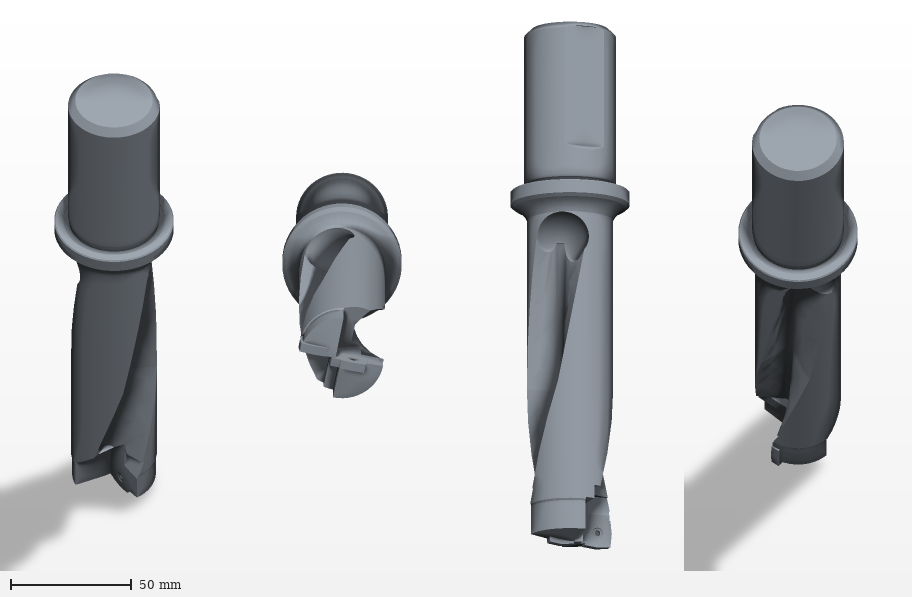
import cadquery as cq
import math


total_length = 219.93
shank_radius = 38.1 / 2
shank_chamfer = 3.0
shank_flat_y = 17.0
shank_flat_bottom = 161.5
neck_radius = 37.39 / 2
neck_height = 2.2
flange_radius = 49.6 / 2
flange_top = 151.0
flange_bottom = 145.3
flange_edge = 0.5
flange_recess_radius = 21.0
flange_recess_depth = 0.4
flare_radius = 23.2
flare_z = 144.0
flare_mid_radius = 19.0
flare_mid_z = 140.9
flare_end_z = 138.8

body_radius = 17.9
tip_radius = 17.4
tip_land_top = 16.0
tip_land_chamfer = 0.8
tip_rim_z = 4.0
tip_center_z = 1.0

flute_reach = 24.0
flute_rim_angle_long = 98.0
flute_rim_angle_short = 173.0
flute_root_long = (0.9, 5.5)
flute_root_short = (-2.2, 3.2)
flute_root_mid = (-0.1, 3.7)
flute_start_z = 23.0
flute_lead_change_z = 67.0
flute_end_z = 128.5
flute_start_angle = 18.0
lower_twist = 45.0
upper_twist = 39.0
runout_radius = 11.0
runout_center_radius = 13.8

pocket_slope_bottom = 17.0
pocket_slope_rise = 12.0
pocket_slope_run = 12.6
pocket_top = pocket_slope_bottom + pocket_slope_rise
inner_pocket_wall = -2.8
outer_pocket_wall = -4.3
web_thickness = 3.6
deep_pocket_wall = -0.3
deep_pocket_top = 17.4

ledge_bottom = 14.8
ledge_depth = 3.4
ledge_inner_x = 8.0

insert_thickness = 3.6
inner_half_width = 5.2
inner_edge_peak = 5.9
inner_x = 4.85
inner_z = inner_edge_peak
outer_half_width = 5.6
outer_edge_peak = 6.2
outer_x = 12.3
outer_z = 6.9
insert_mouth_radius = 4.5 / 2
insert_bore_radius = 3.4 / 2
head_radius = 4.15 / 2
thread_radius = 3.0 / 2
socket_radius = 2.37 / 2
socket_depth = 1.2
screw_length = 8.0
seat_half_angle = math.radians(30)
seat_depth = (insert_mouth_radius - insert_bore_radius) / math.tan(seat_half_angle)
head_recess = (insert_mouth_radius - head_radius) / math.tan(seat_half_angle)


def polar(radius, angle):
    a = math.radians(angle)
    return (radius * math.cos(a), radius * math.sin(a))


def half_turn(shape):
    return shape.rotate((0, 0, 0), (0, 0, 1), 180)


def make_blank():
    """Turned outline of the whole drill body."""
    blank = (
        cq.Workplane("XZ")
        .moveTo(0, tip_center_z)
        .lineTo(tip_radius, tip_rim_z)
        .lineTo(tip_radius, tip_land_top)
        .lineTo(body_radius, tip_land_top + tip_land_chamfer)
        .lineTo(body_radius, flare_end_z)
        .threePointArc((flare_mid_radius, flare_mid_z), (flare_radius, flare_z))
        .lineTo(flange_radius, flange_bottom)
        .lineTo(flange_radius, flange_top - flange_edge)
        .lineTo(flange_radius - flange_edge, flange_top)
        .lineTo(flange_recess_radius, flange_top)
        .lineTo(flange_recess_radius, flange_top - flange_recess_depth)
        .lineTo(neck_radius, flange_top - flange_recess_depth)
        .lineTo(neck_radius, flange_top + neck_height)
        .lineTo(shank_radius, flange_top + neck_height + shank_radius - neck_radius)
        .lineTo(shank_radius, total_length - shank_chamfer)
        .lineTo(shank_radius - shank_chamfer, total_length)
        .lineTo(0, total_length)
        .close()
        .revolve(360, (0, 0, 0), (0, 1, 0))
    )
    return blank


def make_shank_flat():
    """Clamping flat on the +Y side, ending in a 45 degree slope."""
    depth = flange_radius - shank_flat_y
    return (
        cq.Workplane("YZ")
        .moveTo(shank_flat_y, shank_flat_bottom + depth)
        .lineTo(shank_flat_y, total_length)
        .lineTo(flange_radius, total_length)
        .lineTo(flange_radius, shank_flat_bottom)
        .close()
        .extrude(flange_radius, both=True)
        .translate((0, 0, shank_flat_y - shank_radius))
    )


def make_flute_stretch(bottom_z, top_z, start_angle, twist):
    stretch = (
        cq.Workplane("XY")
        .moveTo(*polar(flute_reach, flute_rim_angle_long))
        .lineTo(*flute_root_long)
        .threePointArc(flute_root_mid, flute_root_short)
        .lineTo(*polar(flute_reach, flute_rim_angle_short))
        .lineTo(-flute_reach, flute_reach)
        .close()
        .twistExtrude(top_z - bottom_z, twist)
    )
    return stretch.rotate((0, 0, 0), (0, 0, 1), start_angle).translate((0, 0, bottom_z))


def cut_flute(body, side_angle):
    """One flute: two helical stretches of different lead and a ball-nosed run-out."""
    change_angle = flute_start_angle + lower_twist
    lower = make_flute_stretch(flute_start_z, flute_lead_change_z,
                               flute_start_angle + side_angle, lower_twist)
    upper = make_flute_stretch(flute_lead_change_z, flute_end_z,
                               change_angle + side_angle, upper_twist)
    middle_angle = (flute_rim_angle_long + flute_rim_angle_short) / 2
    x, y = polar(runout_center_radius, middle_angle + change_angle + upper_twist + side_angle)
    runout = cq.Workplane("XY").sphere(runout_radius).translate((x, y, flute_end_z))
    return body.cut(lower).cut(upper).cut(runout)


def make_inner_pocket():
    """Space in front of the Y = 0 face on the -Y side; its wall leans away above."""
    return (
        cq.Workplane("XZ")
        .moveTo(inner_pocket_wall, 0)
        .lineTo(inner_pocket_wall, pocket_slope_bottom)
        .lineTo(inner_pocket_wall + pocket_slope_run, pocket_top)
        .lineTo(flute_reach, pocket_top)
        .lineTo(flute_reach, 0)
        .close()
        .extrude(flute_reach)
    )


def make_quadrant_block(wall, front, top):
    """Block filling X below wall and Y above front, from the tip up to top."""
    return cq.Workplane("XY").box(flute_reach, flute_reach, top, centered=False).translate(
        (wall - flute_reach, front, 0)
    )


def make_outer_pocket():
    """Space in front of the outer insert, stepped back beyond the web."""
    shallow = make_quadrant_block(outer_pocket_wall, 0, flute_start_z)
    deep = make_quadrant_block(deep_pocket_wall, web_thickness, deep_pocket_top)
    return shallow.union(deep)


def make_ledge():
    """Wedge behind the Y = 0 face that leans the wall back up to the flute end."""
    return (
        cq.Workplane("YZ")
        .moveTo(0, ledge_bottom)
        .lineTo(ledge_depth, flute_start_z)
        .lineTo(0, flute_start_z)
        .close()
        .extrude(flute_reach - ledge_inner_x)
        .translate((ledge_inner_x, 0, 0))
    )


def make_insert_blank(half_width, edge_peak, x, z):
    """Square plate with each edge broken outward at its middle; rake face on Y = 0."""
    corner_radius = half_width * math.sqrt(2)
    points = []
    for side in range(4):
        points.append(polar(edge_peak, 90 * side))
        points.append(polar(corner_radius, 90 * side + 45))
    return (
        cq.Workplane("XZ")
        .polyline(points)
        .close()
        .extrude(-insert_thickness)
        .translate((x, 0, z))
    )


def make_insert(half_width, edge_peak, x, z):
    hole = (
        cq.Workplane("XY")
        .moveTo(0, 0)
        .lineTo(insert_mouth_radius, 0)
        .lineTo(insert_bore_radius, seat_depth)
        .lineTo(insert_bore_radius, insert_thickness)
        .lineTo(0, insert_thickness)
        .close()
        .revolve(360, (0, 0, 0), (0, 1, 0))
        .translate((x, 0, z))
    )
    return make_insert_blank(half_width, edge_peak, x, z).cut(hole)


def make_screw(x, z):
    """Countersunk screw along +Y with a socket in its head."""
    head_end = head_recess + (head_radius - thread_radius) / math.tan(seat_half_angle)
    screw = (
        cq.Workplane("XY")
        .moveTo(0, head_recess + socket_depth)
        .lineTo(socket_radius, head_recess + socket_depth)
        .lineTo(socket_radius, head_recess)
        .lineTo(head_radius, head_recess)
        .lineTo(thread_radius, head_end)
        .lineTo(thread_radius, screw_length)
        .lineTo(0, screw_length)
        .close()
        .revolve(360, (0, 0, 0), (0, 1, 0))
    )
    return screw.translate((x, 0, z))


def make_screw_hole(x, z):
    hole = cq.Workplane("XZ").circle(thread_radius).extrude(-screw_length)
    return hole.translate((x, 0, z))


inner_size = (inner_half_width, inner_edge_peak, inner_x, inner_z)
outer_size = (outer_half_width, outer_edge_peak, outer_x, outer_z)

inner_insert = make_insert(*inner_size)
outer_insert = half_turn(make_insert(*outer_size))
inner_screw = make_screw(inner_x, inner_z)
outer_screw = half_turn(make_screw(outer_x, outer_z))

drill_body = make_blank().cut(make_shank_flat())
for side_angle in (0, 180):
    drill_body = cut_flute(drill_body, side_angle)
drill_body = drill_body.cut(make_inner_pocket()).cut(make_outer_pocket())
drill_body = drill_body.cut(make_ledge()).cut(half_turn(make_ledge()))
drill_body = drill_body.cut(make_insert_blank(*inner_size))
drill_body = drill_body.cut(half_turn(make_insert_blank(*outer_size)))
drill_body = drill_body.cut(make_screw_hole(inner_x, inner_z))
drill_body = drill_body.cut(half_turn(make_screw_hole(outer_x, outer_z)))

result = cq.Compound.makeCompound([
    drill_body.val(),
    inner_insert.val(),
    outer_insert.val(),
    inner_screw.val(),
    outer_screw.val(),
])